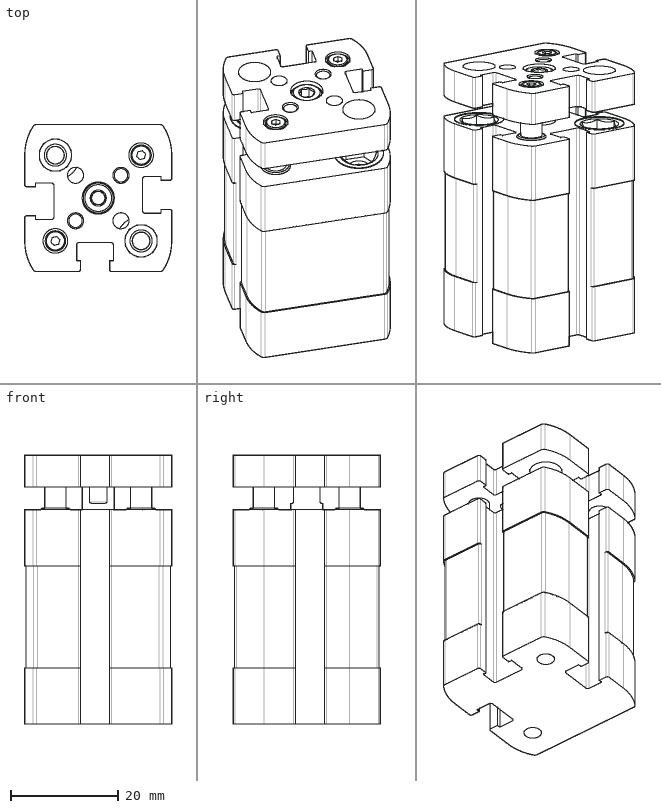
import cadquery as cq
import math

WIDTH = 27.5
HOUSING_HEIGHT = 40.0
CAP_HEIGHT = 10.5
BARREL_INSET = 0.25
GAP = 4.2
PLATE_THICKNESS = 6.0

PITCH = 8.0
SIDE_RADIUS = 10.0
CORNER_FILLET = 0.8

SLOT_OFFSET = 0.6
MOUTH_WIDTH = 5.4
POCKET_WIDTH = 6.8
POCKET_TOP = 11.7
POCKET_FLOOR = 8.3
POCKET_FILLET = 0.4
LIP_FILLET = 0.4

SCREW_RECESS_DIAMETER = 9.2
SCREW_RECESS_DEPTH = 0.15
SCREW_SOCKET = 6.0
SCREW_SOCKET_DEPTH = 3.4
SCREW_MOUTH_DIAMETER = 7.2
SCREW_MOUTH_DEPTH = 0.4
SCREW_HOLE_DIAMETER = 3.24
SCREW_COUNTERSINK_DIAMETER = 4.13
PLATE_ACCESS_DIAMETER = 6.0

GUIDE_DIAMETER = 4.0
GUIDE_TIP_DIAMETER = 3.8
GUIDE_TIP_CHAMFER = 0.2
GUIDE_GROOVE_DIAMETER = 4.6
GROOVE_DEPTH = 0.5
GUIDE_SOCKET = 1.5
GUIDE_SOCKET_DEPTH = 1.0
GUIDE_SOCKET_TURN = 15.0
SCRAPER_DIAMETER = 5.5
SCRAPER_HEIGHT = 0.3
SCRAPER_CHAMFER = 0.25

PISTON_DIAMETER = 6.0
PISTON_FLATS = 5.0
FLAT_LENGTH = 3.0
FLAT_FILLET = 0.25
PISTON_TOP_DROP = 0.4
PISTON_TIP_DIAMETER = 5.6
PISTON_TIP_LENGTH = 0.5
PISTON_TIP_CHAMFER = 0.3
PISTON_SOCKET = 2.5
PISTON_SOCKET_MOUTH = 3.0
PISTON_SOCKET_DEPTH = 2.0
PISTON_DRILL_DIAMETER = 2.46
DRILL_POINT_ANGLE = 118.0

PLATE_HOLE_OFFSET = 4.24
PLATE_HOLE_DIAMETER = 3.0
THREAD_DIAMETER = 2.5

HALF = WIDTH / 2
BARREL_BOTTOM = CAP_HEIGHT
BARREL_TOP = HOUSING_HEIGHT - CAP_HEIGHT
PLATE_BOTTOM = HOUSING_HEIGHT + GAP
PLATE_TOP = PLATE_BOTTOM + PLATE_THICKNESS
ROD_BOTTOM = BARREL_BOTTOM

GUIDE_PLACES = [(-PITCH, -PITCH), (PITCH, PITCH)]
SCREW_PLACES = [(-PITCH, PITCH), (PITCH, -PITCH)]
PLAIN_HOLE_PLACES = [(-PLATE_HOLE_OFFSET, PLATE_HOLE_OFFSET), (PLATE_HOLE_OFFSET, -PLATE_HOLE_OFFSET)]
THREAD_PLACES = [(-PLATE_HOLE_OFFSET, -PLATE_HOLE_OFFSET), (PLATE_HOLE_OFFSET, PLATE_HOLE_OFFSET)]


def cylinder(place, diameter, bottom, top):
    return cq.Workplane("XY", origin=(*place, bottom)).circle(diameter / 2).extrude(top - bottom)


def cone(place, bottom_diameter, top_diameter, bottom, top):
    solid = cq.Solid.makeCone(bottom_diameter / 2, top_diameter / 2, top - bottom, cq.Vector(*place, bottom))
    return cq.Workplane(solid)


def outline_prism(inset, bottom, top):
    """Square block with bulged left and right sides, shrunk by the inset all round."""
    edge = HALF - inset
    radius = SIDE_RADIUS - inset
    center_x = HALF - SIDE_RADIUS
    corner_x = center_x + math.sqrt(radius**2 - (edge - PITCH) ** 2)
    half_angle = math.asin((edge - PITCH) / radius) / 2
    middle_x = center_x + radius * math.cos(half_angle)
    middle_y = PITCH + radius * math.sin(half_angle)
    block = (
        cq.Workplane("XY", origin=(0, 0, bottom))
        .moveTo(-corner_x, edge)
        .lineTo(corner_x, edge)
        .threePointArc((middle_x, middle_y), (edge, PITCH))
        .lineTo(edge, -PITCH)
        .threePointArc((middle_x, -middle_y), (corner_x, -edge))
        .lineTo(-corner_x, -edge)
        .threePointArc((-middle_x, -middle_y), (-edge, -PITCH))
        .lineTo(-edge, PITCH)
        .threePointArc((-middle_x, middle_y), (-corner_x, edge))
        .close()
        .extrude(top - bottom)
    )
    return block.edges("|Z and (>Y or <Y)").fillet(CORNER_FILLET)


def slot_cutter(turn, offset, edge, bottom, top):
    """T-slot open at -Y with rounded lips, turned about the Z axis."""
    height = top - bottom
    pocket = (
        cq.Workplane("XY", origin=(offset, -(POCKET_TOP + POCKET_FLOOR) / 2, bottom))
        .rect(POCKET_WIDTH, POCKET_TOP - POCKET_FLOOR)
        .extrude(height)
        .edges("|Z and >Y")
        .fillet(POCKET_FILLET)
    )
    mouth_half = MOUTH_WIDTH / 2
    lip = LIP_FILLET
    lip_mid = lip * (1 - math.sqrt(0.5))
    mouth = (
        cq.Workplane("XY", origin=(offset, -edge, bottom))
        .moveTo(-mouth_half - lip, 0)
        .threePointArc((-mouth_half - lip_mid, lip_mid), (-mouth_half, lip))
        .lineTo(-mouth_half, edge - POCKET_FLOOR - POCKET_FILLET)
        .lineTo(mouth_half, edge - POCKET_FLOOR - POCKET_FILLET)
        .lineTo(mouth_half, lip)
        .threePointArc((mouth_half + lip_mid, lip_mid), (mouth_half + lip, 0))
        .close()
        .extrude(height)
    )
    return pocket.union(mouth).rotate((0, 0, 0), (0, 0, 1), turn)


def slotted_prism(inset, bottom, top):
    body = outline_prism(inset, bottom, top)
    for turn, offset in [(0, -SLOT_OFFSET), (90, SLOT_OFFSET), (-90, SLOT_OFFSET)]:
        body = body.cut(slot_cutter(turn, offset, HALF - inset, bottom, top))
    return body


def hexagon_prism(place, across_flats, turn, bottom, top):
    """Hexagon with one corner turned from the X axis by the given angle."""
    across_corners = across_flats / math.cos(math.radians(30))
    return (
        cq.Workplane("XY", origin=(*place, bottom))
        .transformed(rotate=(0, 0, turn))
        .polygon(6, across_corners)
        .extrude(top - bottom)
    )


def screw_hole(place):
    """Fixing hole through the housing: shallow round recess, hexagon socket and countersunk bore."""
    recess_floor = HOUSING_HEIGHT - SCREW_RECESS_DEPTH
    socket_floor = HOUSING_HEIGHT - SCREW_SOCKET_DEPTH
    mouth_bottom = recess_floor - SCREW_MOUTH_DEPTH
    sink = (SCREW_COUNTERSINK_DIAMETER - SCREW_HOLE_DIAMETER) / 2
    hole = cylinder(place, SCREW_HOLE_DIAMETER, 0, HOUSING_HEIGHT)
    hole = hole.union(
        cone(place, SCREW_HOLE_DIAMETER, SCREW_COUNTERSINK_DIAMETER, socket_floor - sink, socket_floor)
    )
    hole = hole.union(hexagon_prism(place, SCREW_SOCKET, 0, socket_floor, recess_floor))
    hole = hole.union(cone(place, SCREW_SOCKET, SCREW_MOUTH_DIAMETER, mouth_bottom, recess_floor))
    return hole.union(cylinder(place, SCREW_RECESS_DIAMETER, recess_floor, HOUSING_HEIGHT))


def make_housing():
    body = slotted_prism(0, 0, BARREL_BOTTOM)
    body = body.union(slotted_prism(BARREL_INSET, BARREL_BOTTOM, BARREL_TOP))
    body = body.union(slotted_prism(0, BARREL_TOP, HOUSING_HEIGHT))
    scraper_top = HOUSING_HEIGHT + SCRAPER_HEIGHT
    for place in GUIDE_PLACES:
        scraper = cylinder(place, SCRAPER_DIAMETER, HOUSING_HEIGHT, scraper_top)
        body = body.union(scraper.faces(">Z").chamfer(SCRAPER_CHAMFER))
        body = body.cut(cylinder(place, GUIDE_DIAMETER, ROD_BOTTOM, scraper_top))
    for place in SCREW_PLACES:
        body = body.cut(screw_hole(place))
    return body.cut(cylinder((0, 0), PISTON_DIAMETER, ROD_BOTTOM, HOUSING_HEIGHT))


def make_plate():
    plate = slotted_prism(0, PLATE_BOTTOM, PLATE_TOP)
    sink = (PLATE_HOLE_DIAMETER - THREAD_DIAMETER) / 2
    for place in SCREW_PLACES:
        plate = plate.cut(cylinder(place, PLATE_ACCESS_DIAMETER, PLATE_BOTTOM, PLATE_TOP))
    for place in PLAIN_HOLE_PLACES:
        plate = plate.cut(cylinder(place, PLATE_HOLE_DIAMETER, PLATE_BOTTOM, PLATE_TOP))
    for place in THREAD_PLACES:
        plate = plate.cut(cylinder(place, THREAD_DIAMETER, PLATE_BOTTOM, PLATE_TOP))
        plate = plate.cut(cone(place, THREAD_DIAMETER, PLATE_HOLE_DIAMETER, PLATE_TOP - sink, PLATE_TOP))
    for place in GUIDE_PLACES:
        plate = plate.cut(cylinder(place, GUIDE_DIAMETER, PLATE_BOTTOM, PLATE_TOP))
        plate = plate.cut(cylinder(place, GUIDE_GROOVE_DIAMETER, PLATE_TOP - GROOVE_DEPTH, PLATE_TOP))
    return plate.cut(cylinder((0, 0), PISTON_DIAMETER, PLATE_BOTTOM, PLATE_TOP))


def make_guide(place):
    socket_floor = PLATE_TOP - GUIDE_SOCKET_DEPTH
    socket = hexagon_prism(place, GUIDE_SOCKET, GUIDE_SOCKET_TURN, socket_floor, PLATE_TOP)
    neck = PLATE_TOP - GROOVE_DEPTH
    tip = cylinder(place, GUIDE_TIP_DIAMETER, neck, PLATE_TOP).faces(">Z").chamfer(GUIDE_TIP_CHAMFER)
    return cylinder(place, GUIDE_DIAMETER, ROD_BOTTOM, neck).union(tip).cut(socket)


def make_piston_rod():
    top = PLATE_TOP - PISTON_TOP_DROP
    neck = top - PISTON_TIP_LENGTH
    tip = cylinder((0, 0), PISTON_TIP_DIAMETER, neck, top).faces(">Z").chamfer(PISTON_TIP_CHAMFER)
    rod = cylinder((0, 0), PISTON_DIAMETER, ROD_BOTTOM, neck).union(tip)
    flat = (
        cq.Workplane("XY", origin=(0, PISTON_DIAMETER, PLATE_BOTTOM - FLAT_LENGTH))
        .rect(2 * PISTON_DIAMETER, 2 * PISTON_DIAMETER - PISTON_FLATS)
        .extrude(FLAT_LENGTH)
        .edges("<Y and <Z")
        .fillet(FLAT_FILLET)
    )
    rod = rod.cut(flat).cut(flat.mirror("XZ"))
    socket_floor = top - PISTON_SOCKET_DEPTH
    point = PISTON_DRILL_DIAMETER / 2 / math.tan(math.radians(DRILL_POINT_ANGLE / 2))
    sink = (PISTON_SOCKET_MOUTH - PISTON_SOCKET) / 2
    rod = rod.cut(hexagon_prism((0, 0), PISTON_SOCKET, 0, socket_floor, top))
    rod = rod.cut(cone((0, 0), 0, PISTON_DRILL_DIAMETER, socket_floor - point, socket_floor))
    return rod.cut(cone((0, 0), PISTON_SOCKET, PISTON_SOCKET_MOUTH, top - sink, top))


def make_yoke():
    """Moving part: plate, piston rod and guide rods."""
    yoke = make_plate().union(make_piston_rod())
    for place in GUIDE_PLACES:
        yoke = yoke.union(make_guide(place))
    return yoke


housing = make_housing()
yoke = make_yoke()

result = cq.Compound.makeCompound([housing.solids().val(), yoke.solids().val()])